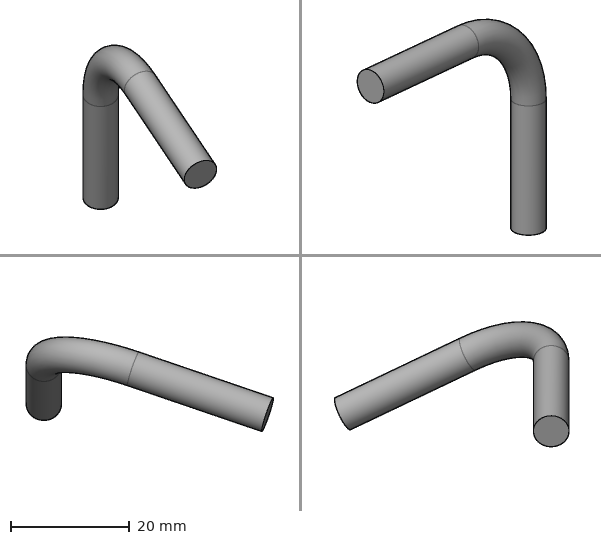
import cadquery as cq

overall_size = 43.0
bar_diameter = 6.0
bend_radius = 16.0
bend_angle = 90.0

bar_radius = bar_diameter / 2
straight_length = overall_size - bar_radius - bend_radius


def bar_section(plane):
    """Round cross-section of the bar, centred on the plane origin."""
    return cq.Workplane(plane).circle(bar_radius)


vertical_leg = bar_section("XY").extrude(straight_length)

bend = (
    bar_section("XY")
    .revolve(bend_angle, (bend_radius, 0, 0), (bend_radius, 1, 0))
    .translate((0, 0, straight_length))
)

horizontal_leg = (
    bar_section("YZ")
    .extrude(straight_length)
    .translate((bend_radius, 0, straight_length + bend_radius))
)

result = vertical_leg.union(bend).union(horizontal_leg)